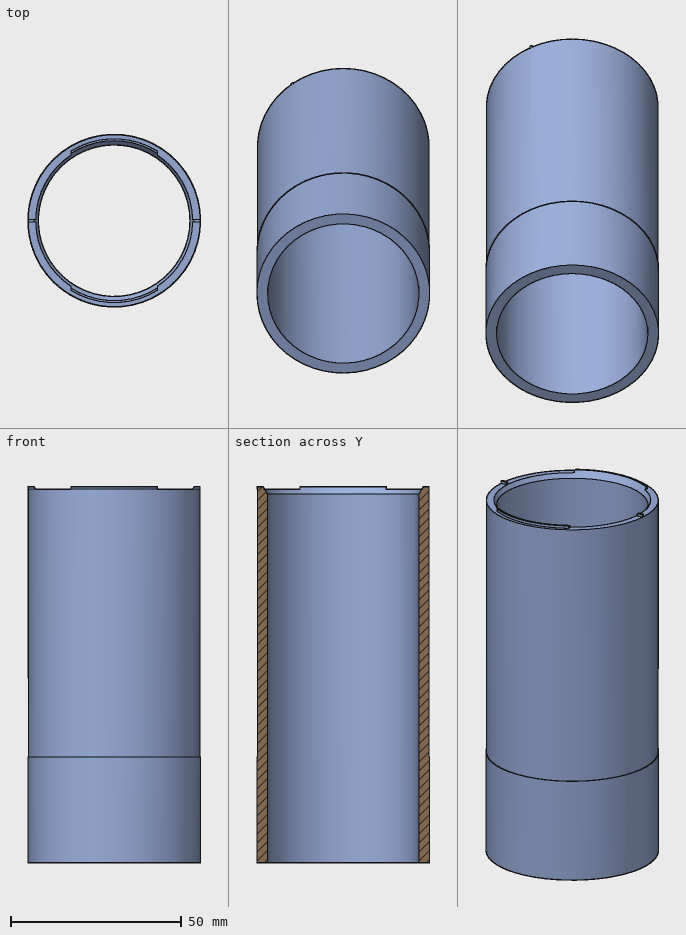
import cadquery as cq
import math

overall_height = 110.49
sleeve_diameter = 50.8
sleeve_height = 31.0
body_diameter = 50.546
bore_diameter = 44.45

key_height = 0.762
rim_height = overall_height - key_height
tongue_width = 25.4
tongue_outer_diameter = 48.133
rib_width = 0.635

mouth_diameter = 46.99
mouth_half_angle = 30.0
bore_radius = bore_diameter / 2
mouth_radius = mouth_diameter / 2
mouth_depth = (mouth_radius - bore_radius) / math.tan(math.radians(mouth_half_angle))


def make_body():
    """Stepped outer cylinder up to the top rim."""
    sleeve = cq.Workplane("XY").circle(sleeve_diameter / 2).extrude(sleeve_height)
    barrel = cq.Workplane("XY").circle(body_diameter / 2).extrude(rim_height)
    return sleeve.union(barrel)


def make_key_bar(length_x, length_y, diameter):
    """Raised bar across the rim, trimmed to a round outer edge."""
    rim = cq.Workplane("XY").workplane(offset=rim_height)
    bar = rim.rect(length_x, length_y).extrude(key_height)
    disc = rim.circle(diameter / 2).extrude(key_height)
    return bar.intersect(disc)


def make_bore():
    """Through bore with its conical mouth at the top."""
    profile = [
        (0, 0),
        (bore_radius, 0),
        (bore_radius, overall_height - mouth_depth),
        (mouth_radius, overall_height),
        (0, overall_height),
    ]
    return cq.Workplane("XZ").polyline(profile).close().revolve(360, (0, 0, 0), (0, 1, 0))


tongues = make_key_bar(tongue_width, tongue_outer_diameter, tongue_outer_diameter)
ribs = make_key_bar(body_diameter, rib_width, body_diameter)

result = make_body().union(tongues).union(ribs).cut(make_bore())